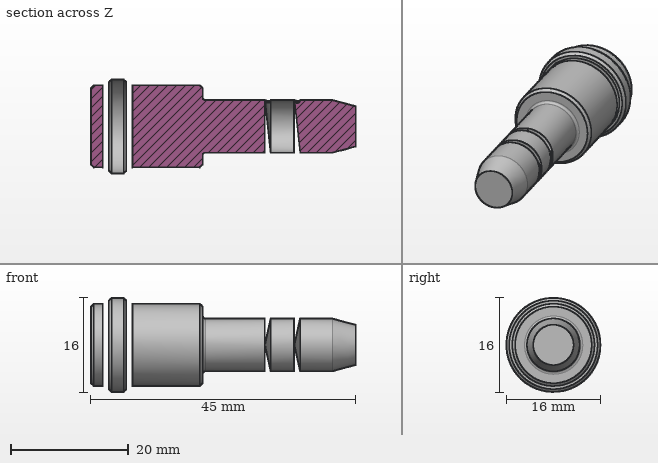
import cadquery as cq
import math


total_length = 45.0
body_length = 19.0
collar_start = 3.0
collar_width = 3.0
taper_length = 4.0

body_diameter = 14.0
collar_diameter = 16.0
shank_diameter = 9.0

chamfer = 0.5
shoulder_fillet = 0.45
taper_angle = 15.0
groove_radius = 0.5
shank_groove_positions = (30.0, 35.0)

body_radius = body_diameter / 2
shank_radius = shank_diameter / 2
collar_end = collar_start + collar_width
tip_radius = shank_radius - taper_length * math.tan(math.radians(taper_angle))
body_groove_positions = (collar_start - groove_radius, collar_end + groove_radius)


def cylinder(start, length, diameter):
    """Solid cylinder on the X axis, starting at the given X."""
    return cq.Workplane("YZ", origin=(start, 0, 0)).circle(diameter / 2).extrude(length)


def round_groove(position, surface_radius):
    """Ring of round section, centred on a surface of the given radius."""
    return (
        cq.Workplane("XY")
        .center(position, surface_radius)
        .circle(groove_radius)
        .revolve(360, (0, -surface_radius, 0), (1, -surface_radius, 0))
    )


body = cylinder(0, body_length, body_diameter).edges().chamfer(chamfer)
for position in body_groove_positions:
    body = body.cut(round_groove(position, body_radius))
collar = cylinder(collar_start, collar_width, collar_diameter).edges().chamfer(chamfer)

fillet_end = body_length + shoulder_fillet
fillet_top = shank_radius + shoulder_fillet
fillet_offset = shoulder_fillet * math.sqrt(0.5)
fillet_middle = (fillet_end - fillet_offset, fillet_top - fillet_offset)
shank = (
    cq.Workplane("XY")
    .moveTo(collar_end, 0)
    .lineTo(collar_end, shank_radius)
    .lineTo(body_length, shank_radius)
    .lineTo(body_length, fillet_top)
    .threePointArc(fillet_middle, (fillet_end, shank_radius))
    .lineTo(total_length - taper_length, shank_radius)
    .lineTo(total_length, tip_radius)
    .lineTo(total_length, 0)
    .close()
    .revolve(360, (0, 0, 0), (1, 0, 0))
)
for position in shank_groove_positions:
    shank = shank.cut(round_groove(position, shank_radius))

result = body.union(collar).union(shank)